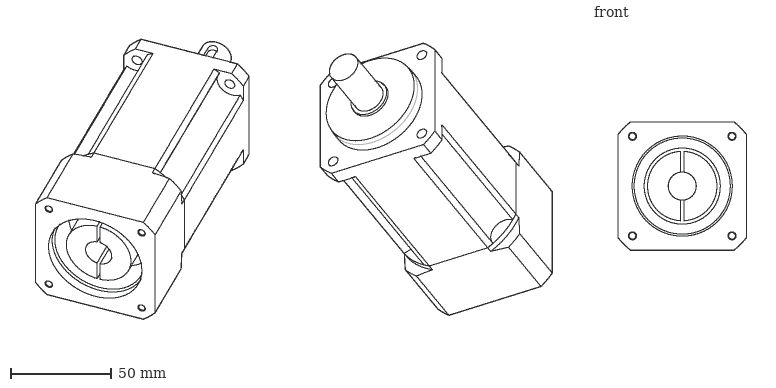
import cadquery as cq


square_width = 64.0
end_radius = 41.0
body_radius = 36.0
bolt_spacing = 49.5

total_length = 166.3
shaft_length = 37.3
flange_thickness = 8.0
seam_y = -89.0
adapter_end_y = shaft_length - total_length

pilot_radius = 25.0
pilot_tip_radius = 24.6
pilot_height = 8.0
pilot_tip_length = 3.0
collar_radius = 10.0
collar_height = 1.5
shaft_radius = 8.0
keyway_width = 5.0
keyway_length = 20.0
keyway_depth = 3.0
keyway_end_gap = 3.0

flange_hole_radius = 2.7
groove_radius = 8.0
groove_center = 26.0

hub_radius = 17.3
hub_recess = 4.7
hub_face_y = adapter_end_y + hub_recess
hub_bore_radius = 7.0
hub_bore_depth = 39.9
hub_slot_width = 1.7

neck_length = 3.3
neck_cone_length = 1.0
motor_pilot_radius = 25.0
motor_pilot_depth = 5.0
cavity_radius = 24.0
cavity_chamfer = motor_pilot_radius - cavity_radius
cavity_depth = 25.0
hub_clearance_radius = 19.0
tapped_hole_radius = 1.7
tapped_hole_chamfer = 0.3
tapped_hole_depth = 10.0
drill_tip_depth = 1.2


def cylinder(radius, y_start, y_end):
    """Solid cylinder on the main axis from y_start to y_end (y_end > y_start)."""
    return cq.Workplane("XZ", origin=(0, y_start, 0)).circle(radius).extrude(y_start - y_end)


def rounded_square(radius, y_start, y_end):
    """Square prism whose corners are cut back to a circle about the main axis."""
    square = cq.Workplane("XZ", origin=(0, y_start, 0)).rect(square_width, square_width)
    return square.extrude(y_start - y_end).intersect(cylinder(radius, y_start, y_end))


def corner_cylinders(radius, spacing, y_start, y_end):
    """Four parallel cylinders on a square pattern."""
    corners = cq.Workplane("XZ", origin=(0, y_start, 0)).rect(spacing, spacing, forConstruction=True)
    return corners.vertices().circle(radius).extrude(y_start - y_end)


def revolved(profile):
    """Solid of revolution about the main axis from (radius, y) points."""
    return cq.Workplane("XY").polyline(profile).close().revolve(360, (0, 0, 0), (0, 1, 0))


def make_keyway():
    """Cutter for the round-ended keyway on top of the shaft."""
    center_y = shaft_length - keyway_end_gap - keyway_length / 2
    floor_z = shaft_radius - keyway_depth
    slot = cq.Workplane("XY", origin=(0, center_y, floor_z))
    return slot.slot2D(keyway_length, keyway_width, 90).extrude(shaft_radius)


def make_pilot():
    """Centering boss with a tapered tip."""
    return revolved([
        (0, 0),
        (pilot_radius, 0),
        (pilot_radius, pilot_height - pilot_tip_length),
        (pilot_tip_radius, pilot_height),
        (0, pilot_height),
    ])


def make_output_side():
    """Pilot boss, shaft collar and keyed shaft."""
    collar = cylinder(collar_radius, 0, pilot_height + collar_height)
    shaft = cylinder(shaft_radius, 0, shaft_length).cut(make_keyway())
    return make_pilot().union(collar).union(shaft)


def make_input_hub():
    """Clamping hub, split by a vertical slot over its full length."""
    hub_length = seam_y - hub_face_y
    hub = cylinder(hub_radius, hub_face_y, seam_y)
    slot = cq.Workplane("XZ", origin=(0, hub_face_y, 0)).rect(hub_slot_width, 2 * hub_radius)
    return hub.cut(slot.extrude(-hub_length))


def make_gearbox():
    """Housing with the output shaft and the input hub."""
    flange_back_y = -flange_thickness
    flange = rounded_square(end_radius, flange_back_y, 0)
    holes = corner_cylinders(flange_hole_radius, bolt_spacing, flange_back_y, 0)
    body = rounded_square(body_radius, seam_y, flange_back_y)
    grooves = corner_cylinders(groove_radius, 2 * groove_center, seam_y, flange_back_y)
    housing = flange.cut(holes).union(body.cut(grooves))

    hub_bore = cylinder(hub_bore_radius, hub_face_y, hub_face_y + hub_bore_depth)
    return housing.union(make_output_side()).union(make_input_hub()).cut(hub_bore)


def make_adapter_outside():
    """Square block with a narrower neck; a shallow cone joins the two."""
    neck_end_y = seam_y - neck_length
    cone_end_y = neck_end_y - neck_cone_length
    envelope = revolved([
        (0, seam_y),
        (body_radius, seam_y),
        (body_radius, neck_end_y),
        (end_radius, cone_end_y),
        (end_radius, adapter_end_y),
        (0, adapter_end_y),
    ])
    block = cq.Workplane("XZ", origin=(0, adapter_end_y, 0)).rect(square_width, square_width)
    return block.extrude(adapter_end_y - seam_y).intersect(envelope)


def make_adapter_cavity():
    """Motor pilot bore, lead-in cone, coupling cavity and clearance around the hub."""
    pilot_floor_y = adapter_end_y + motor_pilot_depth
    cavity_floor_y = adapter_end_y + cavity_depth
    return revolved([
        (0, adapter_end_y),
        (motor_pilot_radius, adapter_end_y),
        (motor_pilot_radius, pilot_floor_y),
        (cavity_radius, pilot_floor_y + cavity_chamfer),
        (cavity_radius, cavity_floor_y),
        (hub_clearance_radius, cavity_floor_y),
        (hub_clearance_radius, seam_y),
        (0, seam_y),
    ])


def make_tapped_holes():
    """Four blind holes with chamfered mouths and conical drill tips."""
    hole_end_y = adapter_end_y + tapped_hole_depth
    hole = revolved([
        (0, adapter_end_y),
        (tapped_hole_radius + tapped_hole_chamfer, adapter_end_y),
        (tapped_hole_radius, adapter_end_y + tapped_hole_chamfer),
        (tapped_hole_radius, hole_end_y),
        (0, hole_end_y + drill_tip_depth),
    ]).val()
    half = bolt_spacing / 2
    holes = cq.Workplane("XY")
    for x in (-half, half):
        for z in (-half, half):
            holes = holes.add(hole.translate(cq.Vector(x, 0, z)))
    return holes.combine()


def make_adapter():
    """Hollow motor adapter around the input hub."""
    return make_adapter_outside().cut(make_adapter_cavity()).cut(make_tapped_holes())


gearbox = make_gearbox()
adapter = make_adapter()

result = cq.Compound.makeCompound([gearbox.val(), adapter.val()])